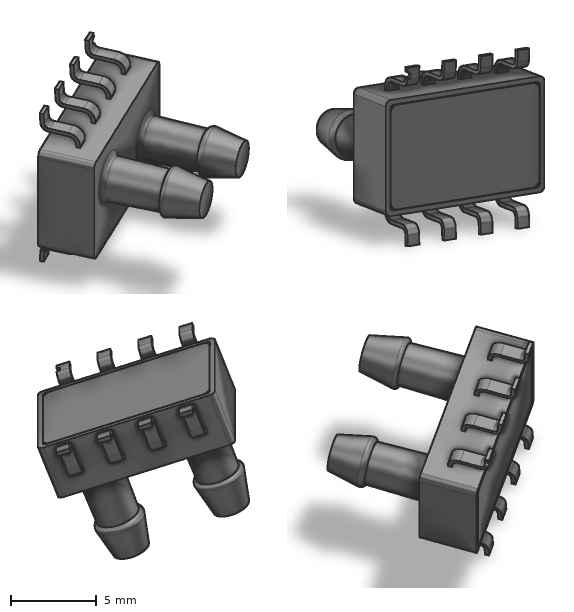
import cadquery as cq
import math

body_depth = 3.5
body_width = 11.0
body_height = 7.02
body_corner_radius = 0.35

rim_width = 0.31
groove_width = 0.04
groove_depth = 0.22
groove_outer_radius = 0.26
cover_corner_radius = 0.43

port_offset_y = 3.1
front_port_z = 0.9
rear_port_z = -0.51
front_port_length = 6.09
rear_port_length = 6.06
neck_root_radius = 1.38
neck_end_radius = 1.31
neck_fillet_radius = 0.32
barb_start = 3.68
barb_shoulder_radius = 1.62
barb_tip_radius = 1.11
front_barb_round = 0.22
rear_barb_round = 0.33

lead_count = 4
lead_pitch = 2.54
lead_width = 0.81
lead_thickness = 0.25
lead_span = 10.8
lead_root_x = 2.02
lead_run_z = 4.3
lead_root_bend = 0.62
lead_foot_bend = 0.43
foot_overhang = 0.37
foot_lean = math.radians(3)
lead_embed = 0.33

notch_radius = 0.23
notch_below_tip = 0.51


def rounded_block(width, height, depth, corner_radius):
    """Block from X = 0 to X = depth with its four long edges rounded."""
    block = cq.Workplane("YZ").rect(width, height).extrude(depth)
    return block.edges("|X").fillet(corner_radius)


def make_body():
    body = rounded_block(body_width, body_height, body_depth, body_corner_radius)
    pocket_width = body_width - 2 * rim_width
    pocket_height = body_height - 2 * rim_width
    pocket = rounded_block(pocket_width, pocket_height, groove_depth, groove_outer_radius)
    cover = rounded_block(
        pocket_width - 2 * groove_width,
        pocket_height - 2 * groove_width,
        groove_depth,
        cover_corner_radius,
    )
    return body.cut(pocket.cut(cover))


def make_port(y, z, length, barb_round):
    """Tapered neck flared into the body, ending in a rounded barb."""
    neck_overlap_x = barb_start + barb_round
    flare_radius = neck_root_radius + neck_fillet_radius
    neck = (
        cq.Workplane("XY")
        .lineTo(0, flare_radius)
        .radiusArc((neck_fillet_radius, neck_root_radius), -neck_fillet_radius)
        .lineTo(barb_start, neck_end_radius)
        .lineTo(neck_overlap_x, neck_end_radius)
        .lineTo(neck_overlap_x, 0)
        .close()
        .revolve(360, (0, 0), (1, 0))
    )
    barb = (
        cq.Workplane("XY")
        .moveTo(barb_start, 0)
        .lineTo(barb_start, barb_shoulder_radius)
        .lineTo(length, barb_tip_radius)
        .lineTo(length, 0)
        .close()
        .revolve(360, (0, 0), (1, 0))
        .faces("<X")
        .edges()
        .fillet(barb_round)
    )
    return neck.union(barb).translate((body_depth, y, z))


def make_top_lead():
    """Strip rising from the body, running back over it and turning up into a leaning foot."""
    half_thickness = lead_thickness / 2
    tip_x = half_thickness * math.cos(foot_lean) - foot_overhang
    tip_z = lead_span / 2 - half_thickness * math.sin(foot_lean)
    foot_start_z = lead_run_z + lead_foot_bend * (1 - math.sin(foot_lean))
    foot_start_x = tip_x + (tip_z - foot_start_z) * math.tan(foot_lean)
    run_end_x = foot_start_x + lead_foot_bend * math.cos(foot_lean)
    root_z = body_height / 2 - lead_embed

    centreline = (
        cq.Workplane("XZ")
        .moveTo(lead_root_x, root_z)
        .lineTo(lead_root_x, lead_run_z - lead_root_bend)
        .tangentArcPoint((lead_root_x - lead_root_bend, lead_run_z), relative=False)
        .lineTo(run_end_x, lead_run_z)
        .tangentArcPoint((foot_start_x, foot_start_z), relative=False)
        .lineTo(tip_x, tip_z)
    )
    section = cq.Workplane("XY", origin=(lead_root_x, 0, root_z)).rect(lead_thickness, lead_width)
    return section.sweep(centreline)


def make_notch():
    """Cylinder that bites into the +Y edge of the first lead's foot."""
    first_lead_y = lead_pitch * (lead_count - 1) / 2
    notch_start_x = -2 * foot_overhang
    return (
        cq.Workplane("YZ", origin=(notch_start_x, 0, 0))
        .center(first_lead_y + lead_width / 2, lead_span / 2 - notch_below_tip)
        .circle(notch_radius)
        .extrude(-notch_start_x)
    )


result = make_body()
result = result.union(make_port(-port_offset_y, front_port_z, front_port_length, front_barb_round))
result = result.union(make_port(port_offset_y, rear_port_z, rear_port_length, rear_barb_round))

top_lead = make_top_lead()
bottom_lead = top_lead.mirror("XY")
for index in range(lead_count):
    lead_y = (index - (lead_count - 1) / 2) * lead_pitch
    result = result.union(top_lead.translate((0, lead_y, 0)))
    result = result.union(bottom_lead.translate((0, lead_y, 0)))

result = result.cut(make_notch())